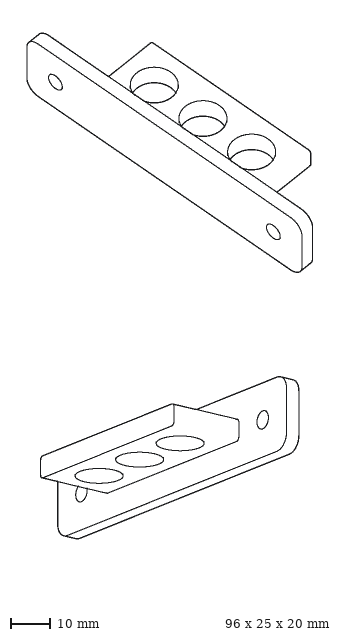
import cadquery as cq

plate_length = 96.0
plate_height = 20.0
plate_thickness = 4.0
plate_corner_radius = 4.0

screw_hole_diameter = 4.8
screw_hole_spacing = 76.0

overall_depth = 25.0
shelf_length = 56.0
shelf_thickness = 6.0
shelf_edge_radius = 1.0
shelf_depth = overall_depth - plate_thickness

holder_hole_diameter = 12.3
holder_hole_spacing = 17.0
holder_hole_count = 3


def rounded_bar(length, depth, height, edge_radius, front_y):
    """Box centred in X and Z, with its four edges along Y rounded."""
    return (
        cq.Workplane("XY")
        .box(length, depth, height, centered=(True, False, True))
        .edges("|Y")
        .fillet(edge_radius)
        .translate((0, front_y, 0))
    )


def screw_holes():
    return (
        cq.Workplane("XZ")
        .rarray(screw_hole_spacing, 1, 2, 1)
        .circle(screw_hole_diameter / 2)
        .extrude(-plate_thickness)
    )


def holder_holes():
    return (
        cq.Workplane("XY")
        .workplane(offset=-shelf_thickness / 2)
        .center(0, plate_thickness + shelf_depth / 2)
        .rarray(holder_hole_spacing, 1, holder_hole_count, 1)
        .circle(holder_hole_diameter / 2)
        .extrude(shelf_thickness)
    )


plate = rounded_bar(plate_length, plate_thickness, plate_height, plate_corner_radius, 0)
shelf = rounded_bar(shelf_length, shelf_depth, shelf_thickness, shelf_edge_radius, plate_thickness)

result = plate.union(shelf).cut(screw_holes()).cut(holder_holes())